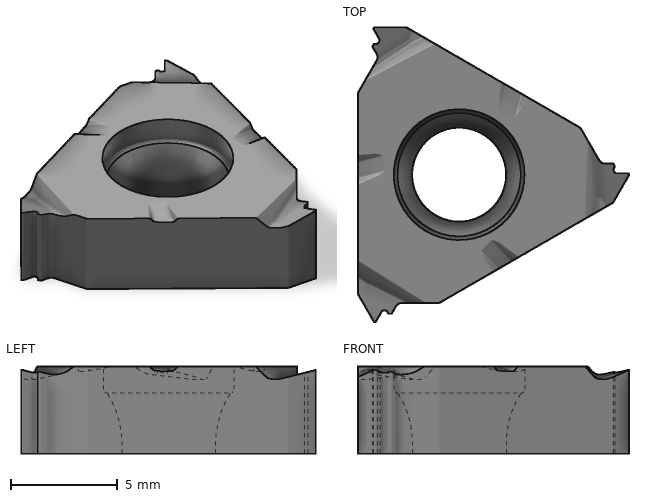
import cadquery as cq
import math

CORNER_ANGLES = (0, 120, 240)
SLOPE_60 = math.tan(math.radians(60))

THICKNESS = 4.11
WIDTH_X = 12.72
LENGTH_Y = 13.83
TIP_RADIUS = 0.07
TIP_CENTER_DISTANCE = (LENGTH_Y - 2 * TIP_RADIUS) / math.sqrt(3)
TIP_REACH = TIP_CENTER_DISTANCE + TIP_RADIUS
SIDE_DISTANCE = WIDTH_X - TIP_REACH
BODY_CORNER_RADIUS = 0.25

RELIEF_Y = -6.03
ROOT_Y = -6.38
CREST_Y = -6.53
CREST_START_X = -3.32
FLANK_SPACING = 0.53
ROOT_RADIUS = 0.07
CREST_RADIUS = 0.03
RELIEF_RADIUS = 0.3

TIP_DROP = 0.17
RAKE_SLOPE_X = 0.22
RAKE_SLOPE_Y = 0.13
GROOVE_DEPTH = 0.6
GROOVE_WALL_X = 5.99
GROOVE_WALL_TURN = -2.0
GROOVE_WALL_LEAN = 40.0
GROOVE_BOTTOM_RADIUS = 0.36
GROOVE_LIP_RADIUS = 0.15

NOTCH_END_X = -3.51
NOTCH_END_Y = 0.55
NOTCH_TURN = 14.0
NOTCH_FALL = 10.0
NOTCH_FLOOR_WIDTH = 0.85
NOTCH_WALL_ANGLE = 45.0
NOTCH_FLOOR_RADIUS = 0.24
NOTCH_LIP_RADIUS = 0.14
NOTCH_LIP_REACH = 0.76
NOTCH_LIP_OFFSET = 0.54
NOTCH_CUT_HEIGHT = 0.83
NOTCH_CUT_LENGTH = 2.21

BORE_RADIUS = 4.4 / 2
MOUTH_RADIUS = 3.07
WALL_DEPTH = 1.04
SEAT_TOP_RADIUS = 2.89
SEAT_TOP_DEPTH = 1.25
SEAT_BOTTOM_DEPTH = 3.6

CUTTER_SIZE = 8.3


def turned(point, degrees):
    a = math.radians(degrees)
    x, y = point
    return (x * math.cos(a) - y * math.sin(a), x * math.sin(a) + y * math.cos(a))


def nearest_to(x, y, z):
    return cq.selectors.NearestToPointSelector((x, y, z))


def repeat_cut(body, cutter):
    for angle in CORNER_ANGLES:
        body = body.cut(cutter.rotate((0, 0, 0), (0, 0, 1), angle))
    return body


def corner_profile():
    """Points of one corner, counterclockwise, each with its rounding radius."""
    tip_x, tip_center_y = turned((TIP_CENTER_DISTANCE, 0), 240)
    tip_y = tip_center_y - 2 * TIP_RADIUS

    def flank_x(y):
        return tip_x + (y - tip_y) / SLOPE_60

    flank_start_y = tip_y + (tip_x + SIDE_DISTANCE) * SLOPE_60
    root_end_x = CREST_START_X - (ROOT_Y - CREST_Y) / SLOPE_60
    side_start_x = 2 * SIDE_DISTANCE + SLOPE_60 * RELIEF_Y
    return [
        ((-SIDE_DISTANCE, flank_start_y), BODY_CORNER_RADIUS),
        ((tip_x, tip_y), TIP_RADIUS),
        ((flank_x(ROOT_Y), ROOT_Y), ROOT_RADIUS),
        ((root_end_x, ROOT_Y), ROOT_RADIUS),
        ((CREST_START_X, CREST_Y), CREST_RADIUS),
        ((flank_x(CREST_Y) + FLANK_SPACING, CREST_Y), CREST_RADIUS),
        ((flank_x(RELIEF_Y) + FLANK_SPACING, RELIEF_Y), RELIEF_RADIUS),
        ((side_start_x, RELIEF_Y), BODY_CORNER_RADIUS),
    ]


def make_body():
    corners = [(turned(p, a), r) for a in CORNER_ANGLES for p, r in corner_profile()]
    outline = [p for p, _ in corners]
    body = cq.Workplane("XY").polyline(outline).close().extrude(-THICKNESS)
    for (x, y), radius in corners:
        body = body.edges(nearest_to(x, y, -THICKNESS / 2)).fillet(radius)
    return body


def block_on(origin, normal, x_dir):
    """Large block standing on the plane through origin, on the side of normal."""
    plane = cq.Plane(origin=origin, xDir=x_dir, normal=normal)
    return cq.Workplane(plane).rect(2 * CUTTER_SIZE, 2 * CUTTER_SIZE).extrude(CUTTER_SIZE)


def cut_chip_grooves(body):
    """Sloped rake face at each tip, level floor and leaning back wall behind it."""
    lean = math.radians(GROOVE_WALL_LEAN)
    out_x, out_y = turned((1, 0), GROOVE_WALL_TURN)
    rake_normal = (-RAKE_SLOPE_X, -RAKE_SLOPE_Y, 1)
    wall_normal = (out_x * math.cos(lean), out_y * math.cos(lean), math.sin(lean))

    above_rake = block_on((TIP_REACH, 0, -TIP_DROP), rake_normal, (1, 0, RAKE_SLOPE_X))
    above_floor = block_on((TIP_REACH, 0, -GROOVE_DEPTH), (0, 0, 1), (1, 0, 0))
    beyond_wall = block_on((GROOVE_WALL_X, 0, 0), wall_normal, (-out_y, out_x, 0))
    cutter = above_rake.intersect(above_floor).intersect(beyond_wall)

    meeting_point = nearest_to(GROOVE_WALL_X, 0, -GROOVE_DEPTH)
    cutter = cutter.vertices(meeting_point).ancestors("Edge").fillet(GROOVE_BOTTOM_RADIUS)
    body = repeat_cut(body, cutter)
    for angle in CORNER_ANGLES:
        x, y = turned((GROOVE_WALL_X, 0), angle)
        body = body.edges(nearest_to(x, y, 0)).fillet(GROOVE_LIP_RADIUS)
    return body


def cut_notches(body):
    """Shallow trough in each flat side, its floor rising inward to the top face."""
    half_floor = NOTCH_FLOOR_WIDTH / 2
    half_top = half_floor + NOTCH_CUT_HEIGHT / math.tan(math.radians(NOTCH_WALL_ANGLE))
    trough = (
        cq.Workplane("YZ")
        .polyline([
            (-half_floor, 0),
            (half_floor, 0),
            (half_top, NOTCH_CUT_HEIGHT),
            (-half_top, NOTCH_CUT_HEIGHT),
        ])
        .close()
        .extrude(NOTCH_CUT_LENGTH, both=True)
        .edges("|X and <Z")
        .fillet(NOTCH_FLOOR_RADIUS)
        .rotate((0, 0, 0), (0, 1, 0), -NOTCH_FALL)
        .rotate((0, 0, 0), (0, 0, 1), NOTCH_TURN)
        .translate((NOTCH_END_X, NOTCH_END_Y, 0))
    )
    body = repeat_cut(body, trough)

    lip_x, lip_y = turned((-NOTCH_LIP_REACH, -NOTCH_LIP_OFFSET), NOTCH_TURN)
    lip = (NOTCH_END_X + lip_x, NOTCH_END_Y + lip_y)
    for angle in CORNER_ANGLES:
        x, y = turned(lip, angle)
        body = body.edges(nearest_to(x, y, 0)).fillet(NOTCH_LIP_RADIUS)
    return body


def cut_screw_hole(body):
    """Straight mouth, hollow-rounded step, and an arc seat that runs tangent into the bore."""
    seat_width = SEAT_TOP_RADIUS - BORE_RADIUS
    seat_height = SEAT_BOTTOM_DEPTH - SEAT_TOP_DEPTH
    seat_curve_radius = (seat_width**2 + seat_height**2) / (2 * seat_width)
    hole = (
        cq.Workplane("XZ")
        .lineTo(MOUTH_RADIUS, 0)
        .lineTo(MOUTH_RADIUS, -WALL_DEPTH)
        .tangentArcPoint((SEAT_TOP_RADIUS, -SEAT_TOP_DEPTH), relative=False)
        .radiusArc((BORE_RADIUS, -SEAT_BOTTOM_DEPTH), -seat_curve_radius)
        .lineTo(BORE_RADIUS, -THICKNESS)
        .lineTo(0, -THICKNESS)
        .close()
        .revolve(360, (0, 0, 0), (0, 1, 0))
    )
    return body.cut(hole)


body = make_body()
body = cut_chip_grooves(body)
body = cut_notches(body)
result = cut_screw_hole(body)